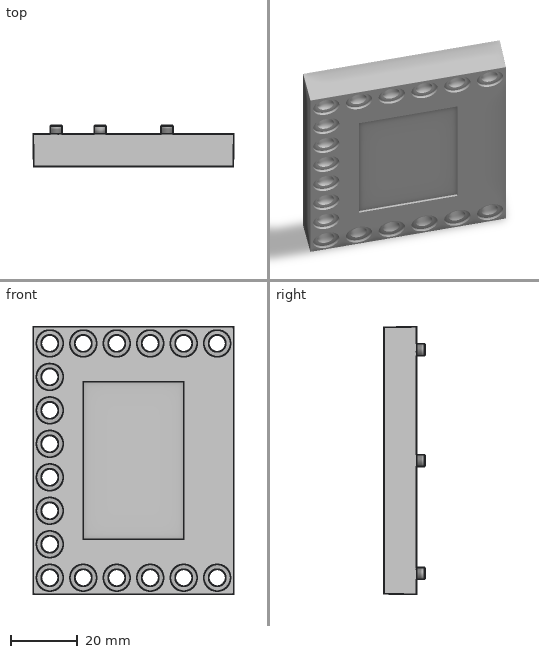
import cadquery as cq

plate_width = 60.0
plate_height = 80.0
overall_depth = 12.3
peg_length = 2.5
plate_thickness = overall_depth - peg_length
draft_angle = 1.0
edge_radius = 0.1

hole_pitch = 10.0
hole_diameter = 5.0
counterbore_diameter = 8.0
counterbore_depth = 0.8
edge_hole_x = plate_width / 2 - hole_pitch / 2
edge_hole_z = plate_height / 2 - hole_pitch / 2
row_hole_count = 6
column_hole_count = 8

recess_width = 30.0
recess_height = 47.0
recess_depth = 0.6

peg_diameter = 3.6
peg_chamfer = 0.3
left_peg = (-23.1, 0.0)
top_peg = (-10.0, 33.1)
bottom_peg = (10.0, -33.7)

front_y = -plate_thickness / 2
back_y = plate_thickness / 2


def face_plane(y):
    """Workplane at depth y: local axes along X and Z, normal toward -Y."""
    return cq.Workplane("XZ", origin=(0, y, 0))


def make_plate():
    """Drafted block with every edge lightly rounded except the back rim."""
    block = face_plane(back_y).rect(plate_width, plate_height).extrude(plate_thickness, taper=draft_angle)
    return block.edges("not >Y").fillet(edge_radius)


def hole_positions():
    """Centres of the two horizontal rows and of the left column between them."""
    row_x = [-edge_hole_x + i * hole_pitch for i in range(row_hole_count)]
    column_z = [-edge_hole_z + i * hole_pitch for i in range(1, column_hole_count - 1)]
    rows = [(x, z) for z in (-edge_hole_z, edge_hole_z) for x in row_x]
    column = [(-edge_hole_x, z) for z in column_z]
    return rows + column


def make_holes():
    """Cutters for the through bores and their front counterbores."""
    centres = hole_positions()
    bores = face_plane(back_y).pushPoints(centres).circle(hole_diameter / 2).extrude(plate_thickness)
    counterbores = (
        face_plane(front_y)
        .pushPoints(centres)
        .circle(counterbore_diameter / 2)
        .extrude(-counterbore_depth)
    )
    return bores.union(counterbores)


def make_recess():
    """Cutter for the front recess."""
    return face_plane(front_y).rect(recess_width, recess_height).extrude(-recess_depth)


def make_pegs():
    """Pegs standing on the back face, chamfered at their tips."""
    centres = [left_peg, top_peg, bottom_peg]
    pegs = face_plane(back_y).pushPoints(centres).circle(peg_diameter / 2).extrude(-peg_length)
    return pegs.faces(">Y").chamfer(peg_chamfer)


result = make_plate().cut(make_holes()).cut(make_recess()).union(make_pegs())